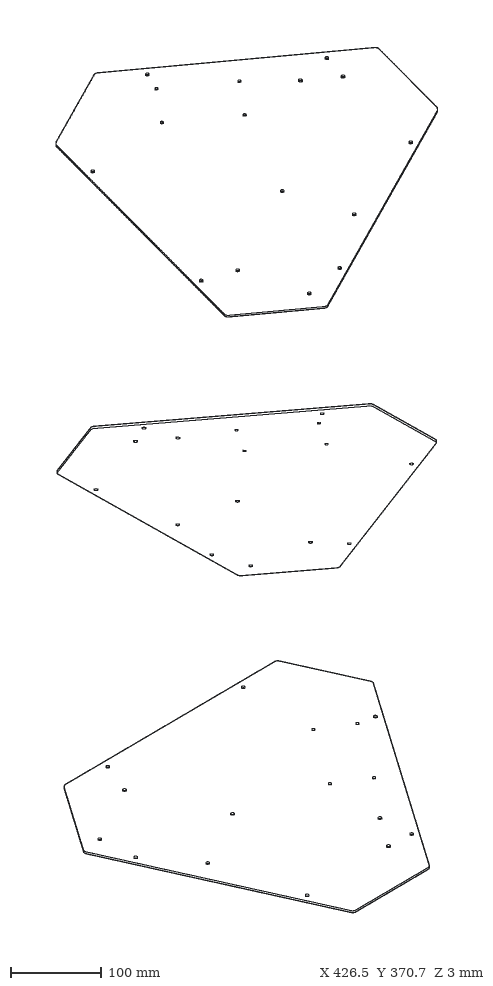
import cadquery as cq
import math

width = 426.5
thickness = 3.0
corner_radius = 5.0
long_side_distance = 156.0

mount_diameter = 4.0
mount_inset = 9.0
mount_spacing = 200.5

left_diameter = 3.5
left_center = (-110.0, 10.0)
left_length = 92.5
left_width = 50.0
left_angle = 60

right_diameter = 4.0
right_center = (118.0, -29.5)
right_length = 126.2
right_width = 86.5
right_angle = -60

pair_diameter = 4.3
pair_center = (-56.7, 137.7)
pair_spacing = 47.8
pair_angle = 60

corner_setback = corner_radius * (1 / math.cos(math.radians(30)) - 1)
sharp_half_width = width / 2 + corner_setback
height = 2 * sharp_half_width * math.cos(math.radians(30))
short_side_distance = height - long_side_distance
long_side_half_length = (2 * short_side_distance - long_side_distance) / math.sqrt(3)


def turn(point, angle):
    """Rotate a point about the origin by an angle in degrees."""
    x, y = point
    c = math.cos(math.radians(angle))
    s = math.sin(math.radians(angle))
    return (x * c - y * s, x * s + y * c)


def three_fold(points):
    """Repeat points about the plate centre, once for each long side."""
    return [turn(point, angle) for angle in (0, 120, 240) for point in points]


def rectangle_points(center, length, breadth, angle):
    """Corners of a rectangle turned about its own centre."""
    corners = [
        turn((i * length / 2, j * breadth / 2), angle) for i in (-1, 1) for j in (-1, 1)
    ]
    return [(center[0] + x, center[1] + y) for x, y in corners]


def pair_points(center, spacing, angle):
    """Two points spaced evenly about a centre."""
    offsets = [turn((i * spacing / 2, 0), angle) for i in (-1, 1)]
    return [(center[0] + x, center[1] + y) for x, y in offsets]


def drill(plate, points, diameter):
    return plate.faces(">Z").workplane(origin=(0, 0, 0)).pushPoints(points).hole(diameter)


outline = three_fold([
    (-long_side_half_length, -long_side_distance),
    (long_side_half_length, -long_side_distance),
])
result = cq.Workplane("XY").polyline(outline).close().extrude(thickness)
result = result.edges("|Z").fillet(corner_radius)

mount_center = (0, mount_inset - long_side_distance)
mount_points = three_fold(pair_points(mount_center, mount_spacing, 0))
left_points = rectangle_points(left_center, left_length, left_width, left_angle)
right_points = rectangle_points(right_center, right_length, right_width, right_angle)

result = drill(result, mount_points, mount_diameter)
result = drill(result, left_points, left_diameter)
result = drill(result, right_points, right_diameter)
result = drill(result, pair_points(pair_center, pair_spacing, pair_angle), pair_diameter)